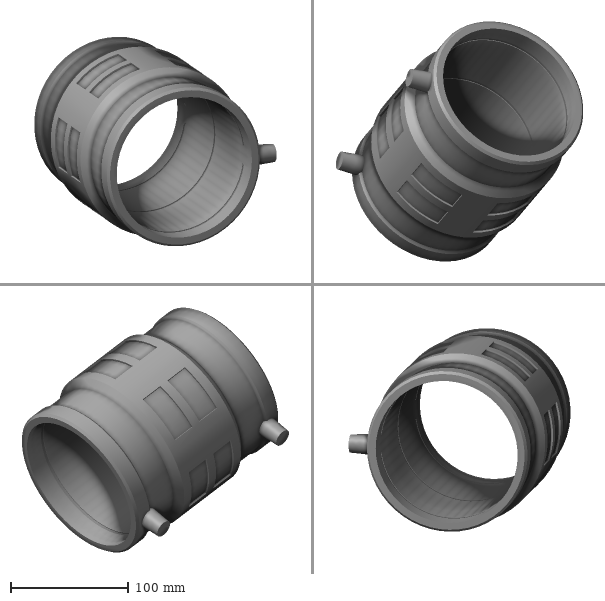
import cadquery as cq
import math

length = 173.0
half_length = length / 2
overall_width = 161.5
bore_radius = 123.75 / 2
body_radius = 135.86 / 2
flange_radius = 140.06 / 2
band_radius = 149.0 / 2

flange_step = flange_radius - body_radius
flange_end = 17.3
band_start = 45.0
band_full = 52.0

groove_radius = 125.0 / 2
groove_width = 3.0
end_groove_start = 17.0

pocket_count = 6
pocket_width = 21.3
pocket_gap = 8.6
pocket_depth = 1.75
pocket_angle = 34.6

post_offset = 14.1
post_root_depth = 2.0
post_root_y = bore_radius - post_root_depth
post_tip_y = overall_width - band_radius
post_tip_radius = 7.8
post_root_radius = 9.5


def disc(x_start, width, radius):
    """Disc around the X axis that starts at x_start and runs toward +X."""
    return cq.Workplane("YZ", origin=(x_start, 0, 0)).circle(radius).extrude(width)


def outer_body():
    """Solid of revolution with end flanges and a raised centre band."""
    left_profile = [
        (-half_length, body_radius),
        (-half_length + flange_step, flange_radius),
        (-half_length + flange_end - flange_step, flange_radius),
        (-half_length + flange_end, body_radius),
        (-half_length + band_start, body_radius),
        (-half_length + band_full, band_radius),
    ]
    right_profile = [(-x, r) for x, r in reversed(left_profile)]
    return (
        cq.Workplane("XY")
        .polyline([(-half_length, 0)] + left_profile + right_profile + [(half_length, 0)])
        .close()
        .revolve(360, (0, 0, 0), (1, 0, 0))
    )


def pocket_cutter(x_start, angle):
    """Arc-shaped cutter with radial ends, centred at an angle measured from +Y."""
    reach = 2 * band_radius
    half_span = reach * math.tan(math.radians(pocket_angle / 2))
    wedge = (
        cq.Workplane("YZ", origin=(x_start, 0, 0))
        .polyline([(0, 0), (reach, -half_span), (reach, half_span)])
        .close()
        .extrude(pocket_width)
    )
    cutter = wedge.cut(disc(x_start, pocket_width, band_radius - pocket_depth))
    return cutter.rotate((0, 0, 0), (1, 0, 0), angle)


def terminal_post(x_centre):
    """Tapered post, widest at its root just inside the bore, where it is trimmed later."""
    return (
        cq.Workplane("XZ", origin=(x_centre, post_root_y, 0))
        .circle(post_root_radius)
        .workplane(offset=post_root_y - post_tip_y)
        .circle(post_tip_radius)
        .loft()
    )


result = outer_body()

end_groove_x = half_length - end_groove_start - groove_width / 2
for groove_centre in (-end_groove_x, 0, end_groove_x):
    result = result.cut(disc(groove_centre - groove_width / 2, groove_width, groove_radius))

for side in (-1, 1):
    result = result.union(terminal_post(side * (half_length - post_offset)))

result = result.cut(disc(-half_length, length, bore_radius))

for index in range(pocket_count):
    angle = index * 360 / pocket_count
    for x_start in (-pocket_gap / 2 - pocket_width, pocket_gap / 2):
        result = result.cut(pocket_cutter(x_start, angle))